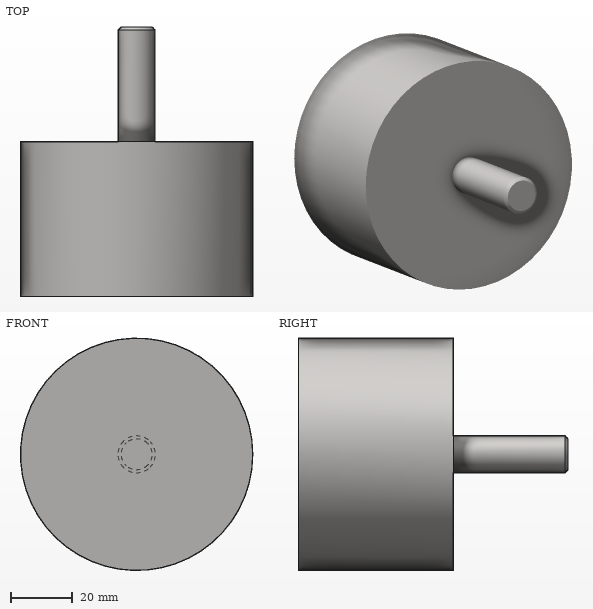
import cadquery as cq

BUFFER_DIAMETER = 75.0
BUFFER_LENGTH = 50.0
STUD_DIAMETER = 12.0
STUD_LENGTH = 37.0
STUD_CHAMFER = 1.0


def cylinder_along_y(diameter, length, start_y):
    """Cylinder on the Y axis that runs from start_y toward +Y."""
    plane = cq.Plane(origin=(0, start_y, 0), xDir=(1, 0, 0), normal=(0, 1, 0))
    return cq.Workplane(plane).circle(diameter / 2).extrude(length)


def make_buffer():
    """Plain round block with its front face at Y = 0."""
    return cylinder_along_y(BUFFER_DIAMETER, BUFFER_LENGTH, 0)


def make_stud():
    """Round stud standing on the buffer's back face, chamfered at its free end."""
    stud = cylinder_along_y(STUD_DIAMETER, STUD_LENGTH, BUFFER_LENGTH)
    return stud.faces(">Y").edges().chamfer(STUD_CHAMFER)


buffer = make_buffer()
stud = make_stud()

result = cq.Compound.makeCompound([buffer.val(), stud.val()])